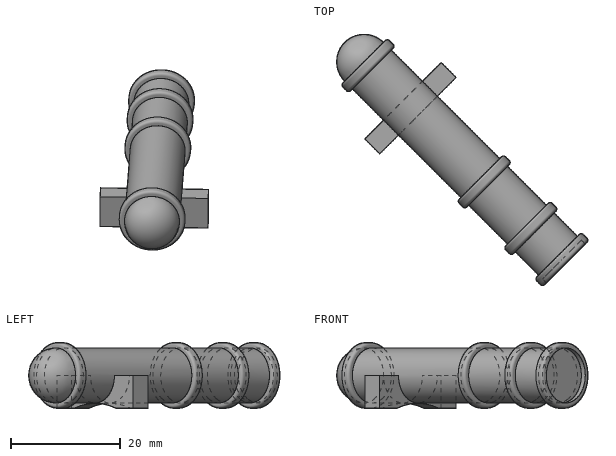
import cadquery as cq

barrel_diameter = 10.0
barrel_radius = barrel_diameter / 2
ring_diameter = 12.0
ring_radius = ring_diameter / 2
ring_width = 2.0
ring_edge_radius = 0.5
muzzle_end = 51.95
muzzle_ring_center = muzzle_end - ring_width / 2
muzzle_recess = ring_width / 2
breech_ring_center = ring_width / 2
ring_centers = [breech_ring_center, 30.95, 42.9, muzzle_ring_center]
plan_angle = -45

block_center = 11.95
block_thickness = 3.85
block_length = 19.68
arch_span = 10.8
arch_rise = 0.9


def make_barrel():
    """Cylinder with a hemispherical closed end centred on the origin."""
    length = muzzle_end - muzzle_recess
    cylinder = cq.Workplane("YZ").circle(barrel_radius).extrude(length)
    dome = cq.Workplane("XY").sphere(barrel_radius)
    return cylinder.union(dome)


def make_ring(center):
    """Open band around the barrel with both outer edges rounded."""
    band = (
        cq.Workplane("YZ")
        .workplane(offset=center - ring_width / 2)
        .circle(ring_radius)
        .extrude(ring_width)
        .edges()
        .fillet(ring_edge_radius)
    )
    bore = (
        cq.Workplane("YZ")
        .workplane(offset=center - ring_width / 2)
        .circle(barrel_radius)
        .extrude(ring_width)
    )
    return band.cut(bore)


def make_cross_block():
    """Block from the barrel axis down to the ring bottoms, arched underneath."""
    half_length = block_length / 2
    half_span = arch_span / 2
    bottom = -ring_radius
    return (
        cq.Workplane("YZ")
        .workplane(offset=block_center - block_thickness / 2)
        .moveTo(-half_length, 0)
        .lineTo(-half_length, bottom)
        .lineTo(-half_span, bottom)
        .threePointArc((0, bottom + arch_rise), (half_span, bottom))
        .lineTo(half_length, bottom)
        .lineTo(half_length, 0)
        .close()
        .extrude(block_thickness)
    )


cannon = make_barrel().union(make_cross_block())
for ring_center in ring_centers:
    cannon = cannon.union(make_ring(ring_center))

result = cannon.rotate((0, 0, 0), (0, 0, 1), plan_angle)